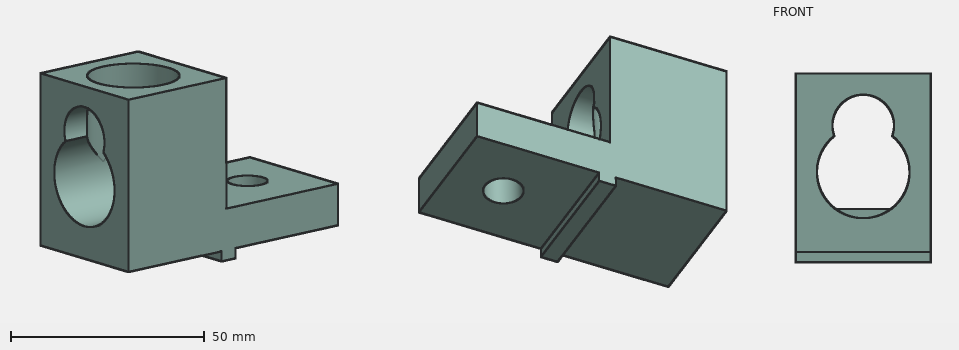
import cadquery as cq

width = 34.95
length = 71.45
height = 48.8
block_length = 33.4
tongue_top = 13.85

rib_height = 2.7
rib_width = 4.8
rib_start = 31.7

bore_diameter = 23.9
bore_height = 23.35
small_bore_diameter = 15.85
small_bore_height = 35.4
bore_runout = 0.65

bolt_hole_diameter = 10.4
bolt_hole_y = 55.6


def box(y_start, y_end, z_start, z_end):
    """Full-width box, centred on X."""
    size_y = y_end - y_start
    size_z = z_end - z_start
    return (
        cq.Workplane("XY")
        .box(width, size_y, size_z, centered=(True, False, False))
        .translate((0, y_start, z_start))
    )


def front_bore(diameter, axis_height):
    """Horizontal cylinder entering from the front face."""
    return (
        cq.Workplane("XZ")
        .center(0, axis_height)
        .circle(diameter / 2)
        .extrude(-(block_length + bore_runout))
    )


def vertical_hole(diameter, y, z_start, z_end):
    """Vertical cylinder on the centre plane."""
    return (
        cq.Workplane("XY", origin=(0, y, z_start))
        .circle(diameter / 2)
        .extrude(z_end - z_start)
    )


block = box(0, block_length, rib_height, height)
tongue = box(0, length, rib_height, tongue_top)
rib = box(rib_start, rib_start + rib_width, 0, tongue_top)
body = block.union(tongue).union(rib)

body = body.cut(front_bore(bore_diameter, bore_height))
body = body.cut(front_bore(small_bore_diameter, small_bore_height))

body = body.cut(vertical_hole(bore_diameter, block_length / 2, bore_height, height))

body = body.cut(vertical_hole(bolt_hole_diameter, bolt_hole_y, 0, tongue_top))

result = body.clean()